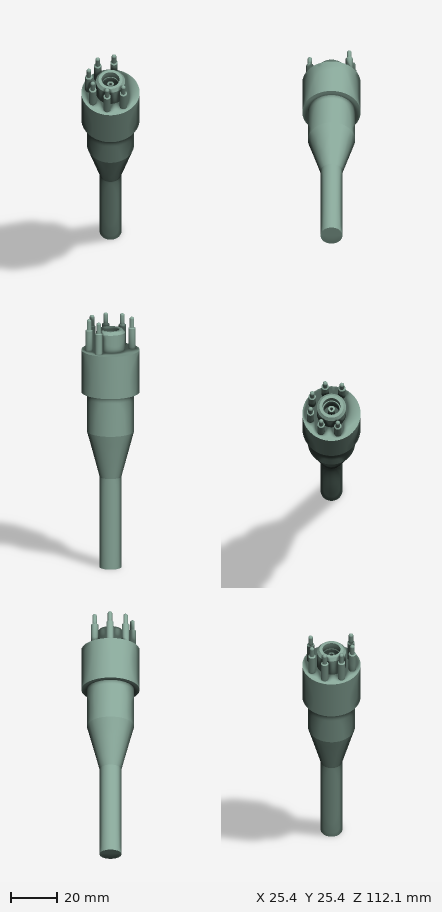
import cadquery as cq
import math

pin_height = 14.2
socket_height = 9.15
collar_length = 19.0
sleeve_length = 17.6
cone_length = 20.5
overall_length = 112.08
cable_end_z = pin_height - overall_length
sleeve_top_z = -collar_length
cone_top_z = sleeve_top_z - sleeve_length
cone_bottom_z = cone_top_z - cone_length

collar_diameter = 25.35
sleeve_diameter = 20.57
cable_diameter = 9.53

pin_diameter = 3.17
pin_tip_diameter = 1.99
pin_dome_height = 0.8
pin_shoulder_z = 9.06
pin_shoulder_height = 0.35
pin_places = 8
pin_count = 6
pin_pitch = 360 / pin_places
first_pin_angle = -pin_pitch / 2
pin_circle_radius = 9.53

socket_diameter = 12.7
socket_chamfer = 1.1
socket_chamfer_height = 1.3
socket_bore_diameter = 7.77
socket_throat_diameter = 6.91
socket_bore_depth = 3.2
socket_floor_z = 0.0

contact_diameter = 2.92
contact_bore_diameter = 1.27
contact_height = socket_height - socket_bore_depth


def cylinder(diameter, bottom_z, top_z):
    """Upright cylinder on the Z axis between two heights."""
    return cq.Workplane("XY", origin=(0, 0, bottom_z)).circle(diameter / 2).extrude(top_z - bottom_z)


def make_housing():
    """Collar, sleeve and tapered strain relief as one turned solid."""
    return (
        cq.Workplane("XZ")
        .moveTo(0, 0)
        .lineTo(collar_diameter / 2, 0)
        .lineTo(collar_diameter / 2, sleeve_top_z)
        .lineTo(sleeve_diameter / 2, sleeve_top_z)
        .lineTo(sleeve_diameter / 2, cone_top_z)
        .lineTo(cable_diameter / 2, cone_bottom_z)
        .lineTo(0, cone_bottom_z)
        .close()
        .revolve(360, (0, 0, 0), (0, 1, 0))
    )


def make_cable():
    """Plain round cable below the strain relief."""
    return cylinder(cable_diameter, cable_end_z, cone_bottom_z)


def make_socket():
    """Chamfered socket shell with a stepped bore open at the top."""
    shell = cylinder(socket_diameter, 0, socket_height)
    shell = shell.faces(">Z").chamfer(socket_chamfer_height, socket_chamfer)
    bore = cylinder(socket_bore_diameter, socket_height - socket_bore_depth, socket_height)
    throat = cylinder(socket_throat_diameter, socket_floor_z, socket_height)
    return shell.cut(bore).cut(throat)


def make_contact():
    """Tubular centre contact."""
    tube = cylinder(contact_diameter, socket_floor_z, contact_height)
    return tube.cut(cylinder(contact_bore_diameter, socket_floor_z, contact_height))


def make_pin(angle):
    """Turned pin with a conical shoulder and a domed tip, placed on the pin circle."""
    shank_radius = pin_diameter / 2
    tip_radius = pin_tip_diameter / 2
    dome_base_z = pin_height - pin_dome_height
    dome_radius = (tip_radius**2 + pin_dome_height**2) / (2 * pin_dome_height)
    dome_half_angle = math.asin(tip_radius / dome_radius) / 2
    dome_mid_x = dome_radius * math.sin(dome_half_angle)
    dome_mid_z = pin_height - dome_radius * (1 - math.cos(dome_half_angle))
    pin = (
        cq.Workplane("XZ")
        .moveTo(0, 0)
        .lineTo(shank_radius, 0)
        .lineTo(shank_radius, pin_shoulder_z)
        .lineTo(tip_radius, pin_shoulder_z + pin_shoulder_height)
        .lineTo(tip_radius, dome_base_z)
        .threePointArc((dome_mid_x, dome_mid_z), (0, pin_height))
        .close()
        .revolve(360, (0, 0, 0), (0, 1, 0))
    )
    x = pin_circle_radius * math.cos(math.radians(angle))
    y = pin_circle_radius * math.sin(math.radians(angle))
    return pin.translate((x, y, 0))


housing = make_housing()
cable = make_cable()
socket = make_socket()
contact = make_contact()
pins = [make_pin(first_pin_angle - i * pin_pitch) for i in range(pin_count)]

result = cq.Compound.makeCompound(
    [
        housing.val(),
        cable.val(),
        socket.val(),
        contact.val(),
        *[pin.val() for pin in pins],
    ]
)